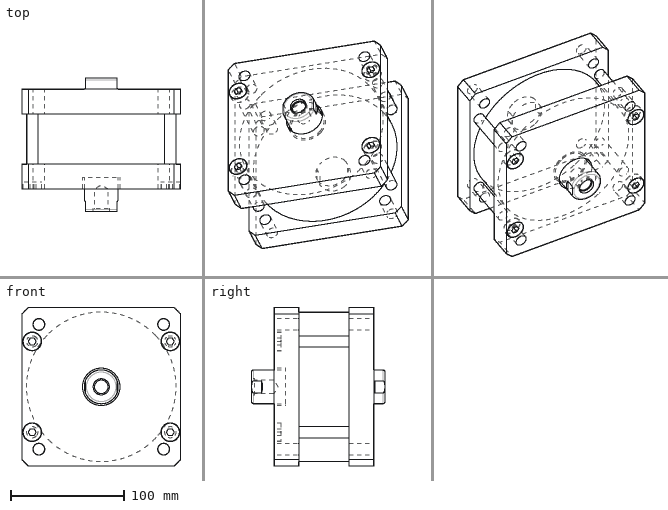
import cadquery as cq
import math

plate_side = 140.0
plate_thickness = 22.0
corner_diameter = 190.0
mount_hole_diameter = 10.1
mount_hole_offset = 55.0

barrel_diameter = 132.0
barrel_length = 44.1
body_half_length = barrel_length / 2 + plate_thickness

rod_diameter = 10.0
rod_x = 60.9
rod_z = 40.0
screw_head_diameter = 16.0
counterbore_diameter = 16.5
head_clearance_depth = 6.0
hex_across_flats = 6.0
hex_depth = 6.0

shaft_diameter = 30.0
shaft_front_length = 20.0
shaft_rear_length = 10.0
shaft_edge_round = 2.0
shaft_bore_diameter = 33.0
bore_clearance_depth = 10.0
flat_spacing = 28.0
flat_length = 9.0
shaft_front_y = -body_half_length - shaft_front_length
shaft_rear_y = body_half_length + shaft_rear_length

thread_diameter = 11.9
thread_depth = 20.0
relief_diameter = 14.3
relief_depth = 3.0
drill_point_angle = 118.0

mount_points = [(x, z) for x in (-mount_hole_offset, mount_hole_offset)
                for z in (-mount_hole_offset, mount_hole_offset)]
rod_points = [(x, z) for x in (-rod_x, rod_x) for z in (-rod_z, rod_z)]


def plane_at(y):
    """Plane facing +Y at the given Y, with local axes along X and Z."""
    return cq.Workplane(cq.Plane(origin=(0, y, 0), xDir=(1, 0, 0), normal=(0, 1, 0)))


def cylinders(diameter, y_start, y_end, points=((0, 0),)):
    """Cylinders along Y at the given (x, z) points."""
    local_points = [(x, -z) for x, z in points]
    return plane_at(y_start).pushPoints(local_points).circle(diameter / 2).extrude(y_end - y_start)


def end_plate(y_start):
    """Square plate with its corners turned to a large diameter and four mounting holes."""
    y_end = y_start + plate_thickness
    plate = plane_at(y_start).rect(plate_side, plate_side).extrude(plate_thickness)
    plate = plate.intersect(cylinders(corner_diameter, y_start, y_end))
    return plate.cut(cylinders(mount_hole_diameter, y_start, y_end, mount_points))


def ring_gap(outer_diameter, inner_diameter, depth, points=((0, 0),)):
    """Annular clearance sunk into the outer face of the front plate."""
    start = -body_half_length
    outer = cylinders(outer_diameter, start, start + depth, points)
    return outer.cut(cylinders(inner_diameter, start, start + depth, points))


def hex_sockets():
    """Hexagonal drive recesses of the screw heads."""
    across_corners = hex_across_flats / math.cos(math.radians(30))
    return (plane_at(-body_half_length).pushPoints(rod_points)
            .polygon(6, across_corners).extrude(hex_depth))


def wrench_flat_cutter(y_end, inward):
    """Pair of flats cut from a shaft end, with a 45 degree run-out."""
    flat_x = flat_spacing / 2
    outer_x = shaft_diameter
    profile = [
        (flat_x, y_end),
        (flat_x, y_end + inward * flat_length),
        (outer_x, y_end + inward * (flat_length + outer_x - flat_x)),
        (outer_x, y_end),
    ]
    cutter = cq.Workplane("XY").polyline(profile).close().extrude(shaft_diameter / 2, both=True)
    return cutter.union(cutter.mirror("YZ"))


def threaded_hole():
    """Stepped hole with a conical drill point."""
    radius = thread_diameter / 2
    relief_radius = relief_diameter / 2
    step_y = shaft_front_y + relief_depth
    point_length = radius / math.tan(math.radians(drill_point_angle / 2))
    bottom_y = shaft_front_y + thread_depth
    profile = [
        (0, shaft_front_y),
        (relief_radius, shaft_front_y),
        (relief_radius, step_y),
        (radius, step_y),
        (radius, bottom_y),
        (0, bottom_y + point_length),
    ]
    return cq.Workplane("XY").polyline(profile).close().revolve(360, (0, 0, 0), (0, 1, 0))


def shaft():
    """Round bar with rounded end edges and wrench flats at both ends."""
    body = cylinders(shaft_diameter, shaft_front_y, shaft_rear_y)
    body = body.faces("<Y or >Y").edges().fillet(shaft_edge_round)
    body = body.cut(wrench_flat_cutter(shaft_front_y, 1))
    return body.cut(wrench_flat_cutter(shaft_rear_y, -1))


result = end_plate(-body_half_length)
result = result.union(end_plate(barrel_length / 2))
result = result.union(cylinders(barrel_diameter, -barrel_length / 2, barrel_length / 2))
result = result.union(cylinders(rod_diameter, -barrel_length / 2, barrel_length / 2, rod_points))
result = result.cut(ring_gap(counterbore_diameter, screw_head_diameter, head_clearance_depth, rod_points))
result = result.cut(hex_sockets())
result = result.cut(ring_gap(shaft_bore_diameter, shaft_diameter, bore_clearance_depth))
result = result.union(shaft())
result = result.cut(threaded_hole())